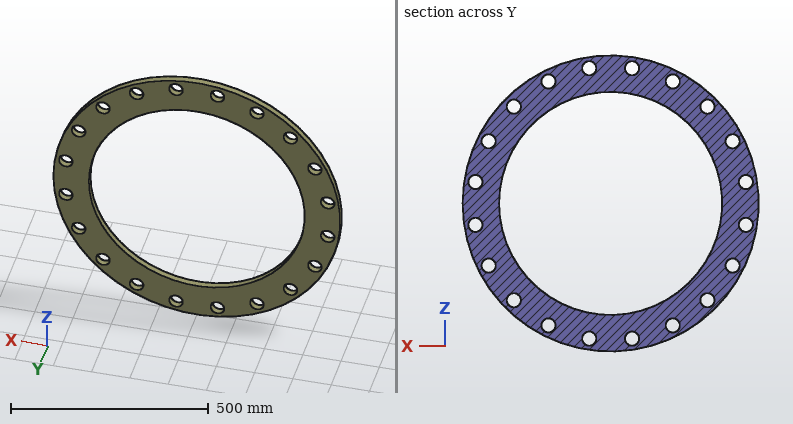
import cadquery as cq

outer_diameter = 749.0
bore_diameter = 563.5
thickness = 19.0
bolt_circle_diameter = 692.0
bolt_hole_diameter = 35.0
bolt_hole_count = 20

hole_pitch_angle = 360 / bolt_hole_count
first_hole_angle = hole_pitch_angle / 2


def flat_ring():
    """Flat ring in the XZ plane, its axis along Y."""
    return (
        cq.Workplane("XZ")
        .circle(outer_diameter / 2)
        .circle(bore_diameter / 2)
        .extrude(thickness)
    )


def bolt_holes():
    """Cylinders that cut the evenly spaced through holes."""
    return (
        cq.Workplane("XZ")
        .polarArray(bolt_circle_diameter / 2, first_hole_angle, 360, bolt_hole_count)
        .circle(bolt_hole_diameter / 2)
        .extrude(thickness)
    )


result = flat_ring().cut(bolt_holes())